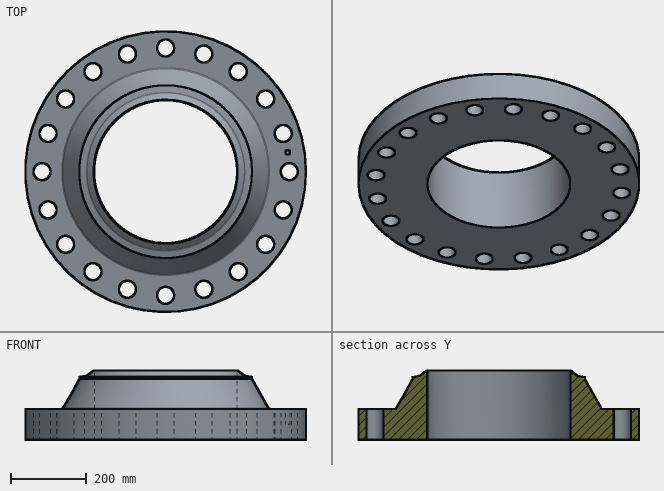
import cadquery as cq
import math

flange_diameter = 742.95
flange_thickness = 82.55
overall_height = 184.15
bore_diameter = 378.0

bolt_count = 20
bolt_circle_diameter = 654.05
bolt_hole_diameter = 44.45

hub_base_diameter = 546.1
hub_base_fillet = 3.2
hub_top_diameter = 457.2
hub_rim_height = 5.0

land_width = 1.6
inner_bevel_height = 14.0
inner_bevel_angle = 52.5
outer_bevel_angle = 10.0
bevel_fillet = 3.0

jack_hole_diameter = 12.7
jack_hole_depth = 40.0
drill_point_angle = 118.0
jack_hole_angle = 180.0 / bolt_count

selection_margin = 0.5


def circle_selector(radius, z):
    """Select the circular edge about Z with the given radius and height."""
    reach = radius + selection_margin
    return cq.selectors.BoxSelector(
        (-reach, -reach, z - selection_margin),
        (reach, reach, z + selection_margin),
        boundingbox=True,
    )


def make_body():
    """Revolve the bored flange, hub and weld bevel about Z."""
    bore_radius = bore_diameter / 2
    flange_radius = flange_diameter / 2
    hub_base_radius = hub_base_diameter / 2
    hub_top_radius = hub_top_diameter / 2

    land_radius = bore_radius + land_width
    bevel_break_radius = land_radius + inner_bevel_height * math.tan(math.radians(inner_bevel_angle))
    bevel_break_z = overall_height - inner_bevel_height
    outer_bevel_run = hub_top_radius - bevel_break_radius
    rim_top_z = bevel_break_z - outer_bevel_run * math.tan(math.radians(outer_bevel_angle))

    profile = [
        (bore_radius, 0),
        (flange_radius, 0),
        (flange_radius, flange_thickness),
        (hub_base_radius, flange_thickness),
        (hub_top_radius, rim_top_z - hub_rim_height),
        (hub_top_radius, rim_top_z),
        (bevel_break_radius, bevel_break_z),
        (land_radius, overall_height),
        (bore_radius, overall_height),
    ]
    body = cq.Workplane("XZ").polyline(profile).close().revolve(360, (0, 0), (0, 1))
    body = body.edges(circle_selector(hub_base_radius, flange_thickness)).fillet(hub_base_fillet)
    return body.edges(circle_selector(bevel_break_radius, bevel_break_z)).fillet(bevel_fillet)


def cut_bolt_holes(body):
    """Cut the through holes, the first one lying on +X."""
    holes = (
        cq.Workplane("XY")
        .polarArray(bolt_circle_diameter / 2, 0, 360, bolt_count)
        .circle(bolt_hole_diameter / 2)
        .extrude(flange_thickness)
    )
    return body.cut(holes)


def cut_jack_hole(body):
    """Cut the blind hole, with its conical drill point, down from the top face of the flange."""
    hole_radius = jack_hole_diameter / 2
    point_depth = hole_radius / math.tan(math.radians(drill_point_angle / 2))
    profile = [
        (0, 0),
        (hole_radius, 0),
        (hole_radius, -jack_hole_depth),
        (0, -jack_hole_depth - point_depth),
    ]
    hole = cq.Workplane("XZ").polyline(profile).close().revolve(360, (0, 0), (0, 1))
    hole = hole.translate((bolt_circle_diameter / 2, 0, flange_thickness))
    hole = hole.rotate((0, 0, 0), (0, 0, 1), jack_hole_angle)
    return body.cut(hole)


result = cut_jack_hole(cut_bolt_holes(make_body()))